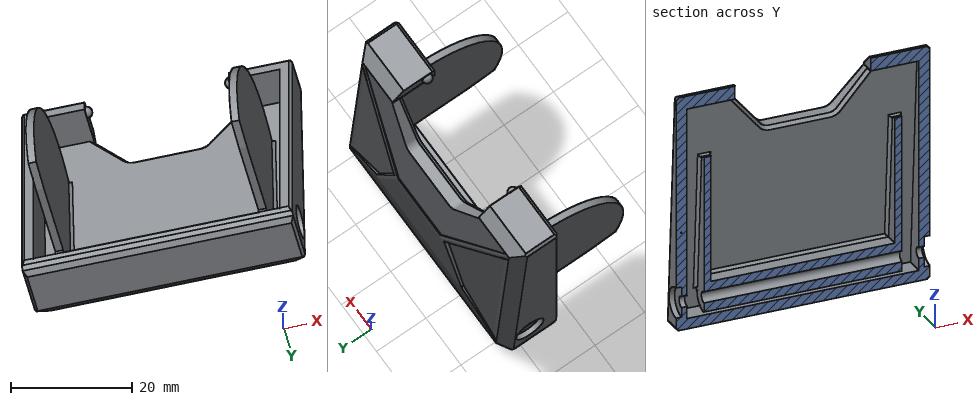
import cadquery as cq
import math

width = 46.0
height = 43.25
rear_depth_bottom = 11.25
rear_depth_top = 8.4
wall = 2.02
rear_chamfer = 2.1
edge_chamfer = 0.5
bottom_bevel = 2.02
bottom_bevel_outer = 1.15
bottom_bevel_inner_height = 0.5
bottom_bevel_outer_depth = 0.3
bottom_bevel_inner_depth = 0.95
rear_slope = (rear_depth_bottom - rear_depth_top) / height
rear_angle = math.atan(rear_slope)
inner_half_width = width / 2 - wall
top_wall = 2.5
inner_top = height - top_wall
big = 3 * width
overlap = 0.45
edge_tolerance = 0.025

dome_depth = 12.0
dome_base_half_width = width / 2 - rear_chamfer
side_panel_half_width = 19.95
dome_base_bottom = rear_chamfer
dome_base_top = height - 2.2
plateau_bottom = 10.35
plateau_top = 22.2
plateau_bottom_half_width = 11.5
side_panel_recess = 0.5
upper_panel_recess = 0.2
rib_half_width = 0.65

notch_half_width = 12.3
notch_shoulder = 40.8
notch_bottom = 33.65
notch_bottom_half_width = 6.35
notch_round = 2.0
notch_chamfer = 0.6

bead_radius = 2.0 / 2
bead_depth = 1.6
bead_height = 42.05

axis_depth = 5.8
axis_height = 5.25
roller_radius = 5.5 / 2
pin_hole_diameter = 2.0
counterbore_radius = roller_radius
counterbore_depth = 1.0
lever_half_width = 17.95
blade_thickness = 1.35
blade_radius = 17.25
blade_centre_depth = 0.55
blade_centre_height = 14.8
blade_bottom = 6.95
blade_tip_height = 7.55
blade_bend_depth = -9.9
root_bevel_size = 0.5
bevel_angle = 45.0
blade_bevel_bottom = 5.65
blade_bevel_top = 31.25
root_overlap = 0.25


def rear_depth(z):
    """Depth of the sloping rear face at height z."""
    return rear_depth_bottom - rear_slope * z


def floor_depth(z):
    """Depth of the inner floor, one wall in front of the rear face."""
    return rear_depth(z) - wall / math.cos(rear_angle)


def prism_x(points, half_width):
    """Prism along X, centred, from an outline of (y, z) points."""
    return cq.Workplane("YZ").polyline(points).close().extrude(half_width, both=True)


def prism_y(points, start, end):
    """Prism along Y from an outline of (x, z) points."""
    outline = cq.Workplane("XZ", origin=(0, start, 0)).polyline(points).close()
    return outline.extrude(start - end)


def cylinder_x(start, length, radius):
    """Cylinder about the hinge axis, from X = start."""
    return cq.Workplane("YZ", origin=(start, axis_depth, axis_height)).circle(radius).extrude(length)


def panel(points):
    """Outline of a dome panel, pulled in from its ridges by half a rib."""
    outline = cq.Workplane("XZ").polyline(points).close().offset2D(-rib_half_width, "intersection")
    return outline.extrude(-big)


def side_half_space(base_half_width, rise):
    """Space behind a left slope that starts on the rear face and rises by `rise` per unit of X."""
    normal = cq.Vector(-rise, 1, rear_slope)
    base = cq.Vector(-base_half_width, rear_depth(0), 0)
    plane = cq.Plane(origin=base, xDir=(1, rise, 0), normal=normal)
    return cq.Workplane(plane).rect(big, big).extrude(big)


def mirror_pair(left):
    """A left-hand solid together with its mirror image across X = 0."""
    return left.union(left.mirror("YZ"))


def shell_block():
    """Block with a sloping rear face, chamfered edges and a bevelled front bottom corner."""
    block = prism_x(
        [(0, 0), (rear_depth_bottom, 0), (rear_depth_top, height), (0, height)], width / 2
    )
    block = block.faces(">Y").chamfer(rear_chamfer)
    for side in ("<X", ">X"):
        block = block.faces(side).edges("not >Y").chamfer(edge_chamfer)
    block = block.faces(">Z").edges("<Y").chamfer(edge_chamfer)
    front_bottom_corner = prism_x(
        [
            (0, 0),
            (0, bottom_bevel),
            (bottom_bevel_outer_depth, bottom_bevel_outer),
            (bottom_bevel_inner_depth, bottom_bevel_inner_height),
            (bottom_bevel, 0),
        ],
        width,
    )
    return block.cut(front_bottom_corner)


def dome():
    """Flat-topped dome with sunken side and upper panels between raised ribs."""
    root_depth = floor_depth(height)
    top_edge = (rear_depth(dome_base_top), dome_base_top)
    solid = prism_x(
        [
            (root_depth, dome_base_top),
            top_edge,
            (dome_depth, plateau_top),
            (dome_depth, plateau_bottom),
            (rear_depth(dome_base_bottom), dome_base_bottom),
            (root_depth, dome_base_bottom),
        ],
        dome_base_half_width,
    )
    slope_run = dome_base_half_width - plateau_bottom_half_width
    plateau_rise = dome_depth - rear_depth(plateau_bottom)
    rise = plateau_rise / slope_run
    solid = solid.cut(mirror_pair(side_half_space(dome_base_half_width, rise)))

    plateau_top_half_width = dome_base_half_width - (dome_depth - rear_depth(plateau_top)) / rise
    side_panel = panel(
        [
            (-dome_base_half_width - 2 * rib_half_width, dome_base_bottom),
            (-dome_base_half_width, dome_base_bottom),
            (-plateau_bottom_half_width, plateau_bottom),
            (-plateau_top_half_width, plateau_top),
            (-dome_base_half_width, dome_base_top),
            (-dome_base_half_width - 2 * rib_half_width, dome_base_top),
        ]
    )
    sunken_run = side_panel_half_width - plateau_bottom_half_width
    sunken_rise = (plateau_rise - side_panel_recess) / sunken_run
    above_side_panel = side_half_space(side_panel_half_width, sunken_rise)
    solid = solid.cut(mirror_pair(side_panel.intersect(above_side_panel)))

    upper_panel = panel(
        [
            (-dome_base_half_width, dome_base_top),
            (-plateau_top_half_width, plateau_top),
            (plateau_top_half_width, plateau_top),
            (dome_base_half_width, dome_base_top),
            (dome_base_half_width, height),
            (-dome_base_half_width, height),
        ]
    )
    above_upper_panel = prism_x(
        [
            top_edge,
            (dome_depth - upper_panel_recess, plateau_top),
            (big, plateau_top),
            (big, dome_base_top),
        ],
        width,
    )
    return solid.cut(upper_panel.intersect(above_upper_panel))


def cavity():
    """Pocket from the open front to the floor, which runs parallel to the rear face."""
    return prism_x(
        [
            (-overlap, bottom_bevel),
            (floor_depth(bottom_bevel), bottom_bevel),
            (floor_depth(inner_top), inner_top),
            (-overlap, inner_top),
        ],
        inner_half_width,
    )


def notch():
    """Cutter for the notch, with rounded bottom corners."""
    outline = prism_y(
        [
            (-notch_half_width, height),
            (-notch_half_width, notch_shoulder),
            (-notch_bottom_half_width, notch_bottom),
            (notch_bottom_half_width, notch_bottom),
            (notch_half_width, notch_shoulder),
            (notch_half_width, height),
        ],
        -overlap,
        dome_depth + overlap,
    )
    return outline.edges("|Y").edges("<Z").fillet(notch_round)


def lever():
    """Roller along X with a blade at each end, joined to the floor by a flat-topped web."""
    roller = cylinder_x(-lever_half_width, 2 * lever_half_width, roller_radius)
    root_depth = floor_depth(axis_height) + root_overlap
    web_top = axis_height + roller_radius
    web = prism_x(
        [
            (axis_depth, axis_height),
            (root_depth, axis_height),
            (root_depth, web_top),
            (axis_depth, web_top),
        ],
        lever_half_width,
    )

    def on_blade_rim(offset):
        """The other coordinate of a rim point, both measured from the blade centre."""
        return math.sqrt(blade_radius**2 - offset**2)

    root_height = blade_centre_height + on_blade_rim(root_depth - blade_centre_depth)
    tip_depth = blade_centre_depth - on_blade_rim(blade_tip_height - blade_centre_height)
    arc_middle = (
        blade_centre_depth - blade_radius * math.sin(math.pi / 4),
        blade_centre_height + blade_radius * math.cos(math.pi / 4),
    )
    front_of_roller = axis_depth - roller_radius
    blade = (
        cq.Workplane("YZ", origin=(-lever_half_width, 0, 0))
        .moveTo(root_depth, axis_height)
        .lineTo(root_depth, root_height)
        .threePointArc(arc_middle, (tip_depth, blade_tip_height))
        .lineTo(blade_bend_depth, blade_bottom)
        .lineTo(front_of_roller, blade_bottom)
        .lineTo(front_of_roller, axis_height)
        .close()
        .extrude(blade_thickness)
    )
    return roller.union(web).union(mirror_pair(blade))


def pin_holes():
    """Through hole on the hinge axis, counterbored on both sides."""
    hole = cylinder_x(-width / 2, width, pin_hole_diameter / 2)
    left_counterbore = cylinder_x(-width / 2, counterbore_depth, counterbore_radius)
    right_counterbore = cylinder_x(width / 2 - counterbore_depth, counterbore_depth, counterbore_radius)
    return hole.union(left_counterbore).union(right_counterbore)


def is_notch_rim(edge):
    """Whether an edge is where the notch breaks through the inner floor."""
    centre = edge.Center()
    on_floor = abs(centre.y - floor_depth(centre.z)) < edge_tolerance
    in_notch = abs(centre.x) < notch_half_width and notch_bottom - edge_tolerance < centre.z < inner_top
    return on_floor and in_notch


def root_bevel(x_start, x_end, z_start, z_end):
    """Bevelled pad on the inner floor, spreading to the given limits."""
    floor_plane = cq.Plane(
        origin=(0, floor_depth(0), 0), xDir=(1, 0, 0), normal=(0, -1, -rear_slope)
    )
    length = (z_end - z_start) / math.cos(rear_angle)
    middle = (z_start + z_end) / 2 / math.cos(rear_angle)
    pad = cq.Workplane(floor_plane).center((x_start + x_end) / 2, middle)
    return pad.rect(x_end - x_start, length).extrude(root_bevel_size, taper=bevel_angle)


def root_bevels():
    """Bevels that join the web and both blades to the inner floor."""
    inner_x = lever_half_width - blade_thickness
    web_bevel_top = axis_height + roller_radius + root_bevel_size
    web_pad = root_bevel(-lever_half_width, lever_half_width, axis_height, web_bevel_top)
    blade_pad = root_bevel(
        -lever_half_width - root_bevel_size,
        -inner_x + root_bevel_size,
        blade_bevel_bottom,
        blade_bevel_top,
    )
    return web_pad.union(mirror_pair(blade_pad))


shell = shell_block().union(dome()).cut(cavity()).cut(notch())
shell = shell.edges().filter(is_notch_rim).chamfer(notch_chamfer)
result = shell.union(lever())
result = result.union(root_bevels()).cut(pin_holes())
for bead_x in (-notch_half_width, notch_half_width):
    bead = cq.Workplane("XY", origin=(bead_x, bead_depth, bead_height)).sphere(bead_radius)
    result = result.union(bead)